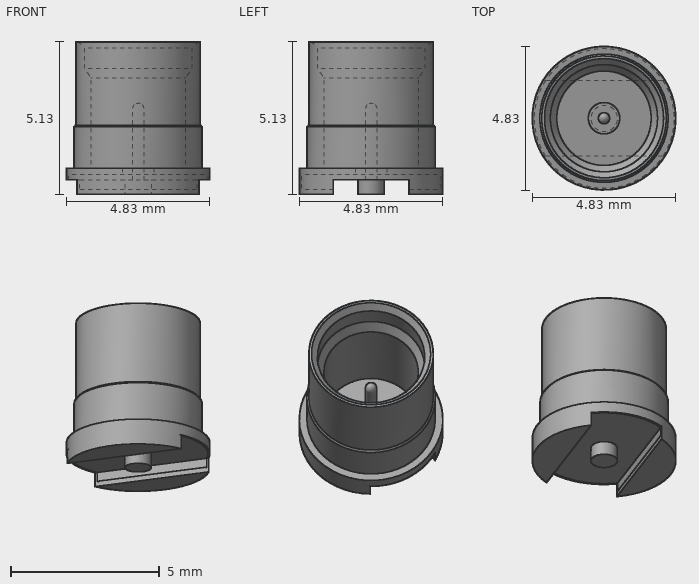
import cadquery as cq

TOTAL_HEIGHT = 5.13
FLANGE_DIAMETER = 4.83
FLANGE_TOP = 0.88
COLLAR_DIAMETER = 4.32
BARREL_DIAMETER = 4.19
COLLAR_TOP = 2.335
COLLAR_CHAMFER = (COLLAR_DIAMETER - BARREL_DIAMETER) / 2

GUIDE_DIAMETER = 3.605
BORE_DIAMETER = 3.175
MOUTH_CHAMFER = 0.2
GUIDE_LENGTH = 0.69
CONE_LENGTH = 0.315
FLOOR_HEIGHT = FLANGE_TOP

SLOT_WIDTH = 2.54
SLOT_HEIGHT = 0.49

DISC_DIAMETER = 4.7
DISC_BOTTOM = 0.18
DISC_TOP = 0.685
CORE_DIAMETER = 1.055

PIN_DIAMETER = 0.38
PIN_TOP = 3.08
TAIL_DIAMETER = 0.89


def cylinder(diameter, bottom, top):
    """Vertical cylinder on the Z axis between two heights."""
    return cq.Workplane("XY").workplane(offset=bottom).circle(diameter / 2).extrude(top - bottom)


def make_slot():
    """Block that clears the slot through the full width of the base."""
    return cq.Workplane("XY").box(FLANGE_DIAMETER * 2, SLOT_WIDTH, SLOT_HEIGHT, centered=(True, True, False))


def make_insulator_blank():
    """Disc and core before the slot and the pin hole are cut."""
    disc = cylinder(DISC_DIAMETER, DISC_BOTTOM, DISC_TOP)
    core = cylinder(CORE_DIAMETER, DISC_BOTTOM, FLOOR_HEIGHT)
    return disc.union(core)


def make_bore():
    """Stepped bore, revolved about the Z axis."""
    guide_top = TOTAL_HEIGHT - MOUTH_CHAMFER
    cone_top = guide_top - GUIDE_LENGTH
    cone_bottom = cone_top - CONE_LENGTH
    profile = [
        (0, FLOOR_HEIGHT),
        (BORE_DIAMETER / 2, FLOOR_HEIGHT),
        (BORE_DIAMETER / 2, cone_bottom),
        (GUIDE_DIAMETER / 2, cone_top),
        (GUIDE_DIAMETER / 2, guide_top),
        (GUIDE_DIAMETER / 2 + MOUTH_CHAMFER, TOTAL_HEIGHT),
        (0, TOTAL_HEIGHT),
    ]
    return cq.Workplane("XZ").polyline(profile).close().revolve(360, (0, 0, 0), (0, 1, 0))


def make_housing():
    """Flanged barrel with a slotted base, hollowed for the insulator."""
    flange = cylinder(FLANGE_DIAMETER, 0, FLANGE_TOP)
    collar = cylinder(COLLAR_DIAMETER, FLANGE_TOP, COLLAR_TOP).faces(">Z").edges().chamfer(COLLAR_CHAMFER)
    barrel = cylinder(BARREL_DIAMETER, FLANGE_TOP, TOTAL_HEIGHT)
    outside = flange.union(collar).union(barrel)
    return outside.cut(make_bore()).cut(make_slot()).cut(make_insulator_blank())


def make_pin():
    """Thin contact with a spherical tip and a thicker tail below the insulator."""
    tail = cylinder(TAIL_DIAMETER, 0, SLOT_HEIGHT)
    contact = cylinder(PIN_DIAMETER, 0, PIN_TOP - PIN_DIAMETER / 2)
    tip = cq.Workplane("XY").sphere(PIN_DIAMETER / 2).translate((0, 0, PIN_TOP - PIN_DIAMETER / 2))
    return tail.union(contact).union(tip)


def make_insulator():
    """Insulator slotted flush with the housing and bored for the pin."""
    pin_hole = cylinder(PIN_DIAMETER, 0, FLOOR_HEIGHT)
    return make_insulator_blank().cut(make_slot()).cut(pin_hole)


housing = make_housing()
insulator = make_insulator()
pin = make_pin()

result = cq.Compound.makeCompound([housing.val(), insulator.val(), pin.val()])